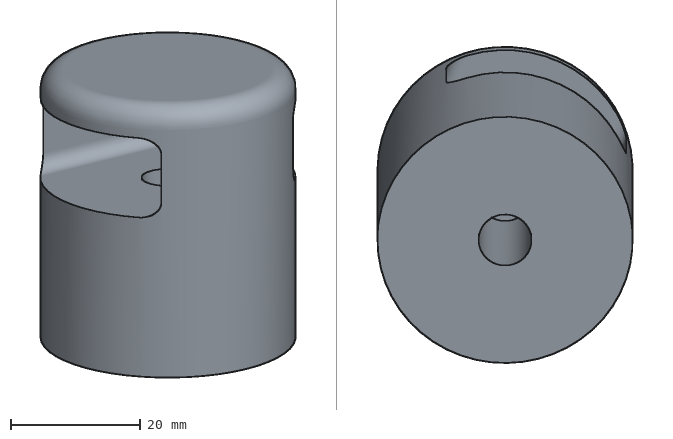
import cadquery as cq

height = 44.0
body_diameter = 39.5
top_edge_radius = 3.5

window_width = 30.0
window_floor = 26.0
window_height = 13.0
window_corner_radius = 2.5

hole_diameter = 8.2


def make_body():
    body = cq.Workplane("XY").circle(body_diameter / 2).extrude(height)
    return body.faces(">Z").edges().fillet(top_edge_radius)


def make_window():
    window = (
        cq.Workplane("XY")
        .workplane(offset=window_floor)
        .box(window_width, body_diameter, window_height, centered=(True, True, False))
    )
    return window.edges("|Y").fillet(window_corner_radius)


def make_hole():
    hole_top = window_floor + window_height / 2
    return cq.Workplane("XY").circle(hole_diameter / 2).extrude(hole_top)


result = make_body().cut(make_window()).cut(make_hole())